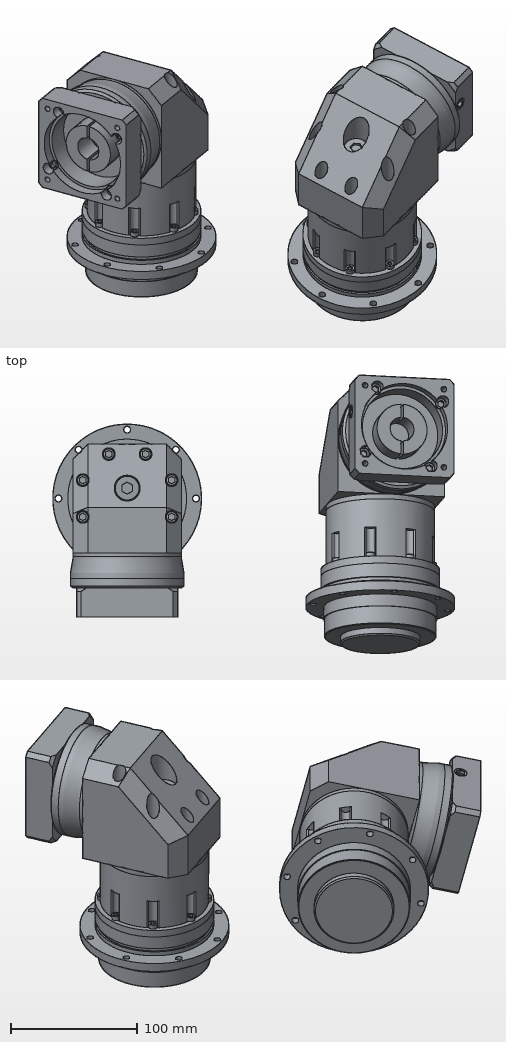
import cadquery as cq
import math


overall_depth = 153.0
overall_height = 200.5

boss_radius = 31.7
boss_height = 6.0
boss_chamfer = 1.2
pilot_radius = 44.3
pilot_chamfer = 0.6
pilot_top = 20.5
upper_pilot_radius = 45.0
flange_diameter = 118.0
flange_bottom = 30.0
flange_top = 37.3
shoulder_radius = 47.1
groove_radius = 45.5
groove_bottom = 41.0
groove_top = 44.0
flange_hole_count = 8
flange_hole_radius = 2.6
flange_hole_circle = 54.5

ring_bottom = 54.7
ring_shoulder_top = 60.8
flute_top = 85.5
ring_top = 108.3
screw_count = 8
flute_radius = 3.6
flute_circle = 41.7
flute_mouth_overrun = 2.0
flute_screw_radius = 3.5
flute_screw_height = 3.6
flute_socket_radius = 2.0

body_radius = 43.1
block_chamfer = 12.0
slope_leg = 50.1
front_neck_length = 2.8
housing_screw_circle = 38.0
housing_bore_radius = 5.0
housing_screw_radius = 4.2
housing_screw_height = 6.0
housing_screw_seat = 124.3
plug_center_y = 8.2
plug_bore_radius = 10.2
plug_radius = 9.5
plug_height = 4.0
plug_seat = 164.5
plug_socket_radius = 4.8

collar_radius = 45.1
cone_start = 47.7
cone_end = 59.1
collar_end = 63.4

disc_end = 70.8
disc_chamfer_length = 1.5
disc_chamfer_radial = 2.2
plate_width = 80.2
plate_chamfer = 3.6
plate_back_radius = 51.3
cavity_radius = 32.5
cavity_depth = 26.7
register_radius = 34.9
register_depth = 8.0
shaft_opening_radius = 13.8
mount_hole_spacing = 63.8
mount_hole_radius = 2.2
mount_hole_depth = 14.0
drill_tip_angle = 118.0
plate_screw_count = 4
plate_screw_circle = 38.0
plate_screw_angle = 35.0
plate_bore_radius = 4.6
plate_bore_depth = 13.0
plate_screw_radius = 4.2
side_screw_inset = 16.5
side_screw_height = 14.0
side_bore_radius = 5.0
side_bore_depth = 0.5
side_socket_radius = 3.6

hub_radius = 20.3
hub_bore_radius = 9.6
hub_recess = 9.5
hub_slot_width = 2.0

screw_socket_radius = 3.0
socket_depth = 3.0

flange_radius = flange_diameter / 2
input_height = overall_height - collar_radius
block_bottom = input_height - body_radius
block_top = input_height + body_radius
neck_end = body_radius + front_neck_length
plate_front = overall_depth - flange_radius
cavity_floor = plate_front - cavity_depth
screw_pitch = 360 / screw_count


def cylinder(radius, bottom, top, x=0, y=0):
    """Upright cylinder between two heights."""
    return cq.Workplane("XY", origin=(x, y, bottom)).circle(radius).extrude(top - bottom)


def input_plane(distance, height=input_height):
    """Plane across the input axis, facing -Y, at a distance from the output axis."""
    return cq.Workplane("XZ", origin=(0, -distance, height))


def input_cylinder(radius, start, end, x=0, z=0):
    """Cylinder parallel to the input axis, placed relative to that axis."""
    return input_plane(start).center(x, z).circle(radius).extrude(end - start)


def revolve_about_input(profile):
    """Turn a profile of (radius, distance) points around the input axis."""
    points = [(radius, -distance) for radius, distance in profile]
    outline = cq.Workplane("XY", origin=(0, 0, input_height)).polyline(points).close()
    return outline.revolve(360, (0, 0, 0), (0, 1, 0))


def hexagon(plane, corner_radius, depth):
    """Hexagonal prism with two corners on the plane's local Y axis."""
    corners = [
        (corner_radius * math.sin(math.radians(60 * k)), corner_radius * math.cos(math.radians(60 * k)))
        for k in range(6)
    ]
    return plane.polyline(corners).close().extrude(depth)


def upright_screw_head(radius, socket_radius, bottom, height, x=0, y=0):
    """Screw head standing on a horizontal seat, with a hexagon socket in its top."""
    top = bottom + height
    socket_floor = top - min(socket_depth, height / 2)
    socket = hexagon(cq.Workplane("XY", origin=(x, y, socket_floor)), socket_radius, height)
    return cylinder(radius, bottom, top, x, y).cut(socket)


def polar_point(radius, angle):
    return radius * math.cos(math.radians(angle)), radius * math.sin(math.radians(angle))


def make_output_housing():
    body = cylinder(boss_radius, 0, boss_height).faces("<Z").chamfer(boss_chamfer)
    pilot = cylinder(pilot_radius, boss_height, pilot_top).faces("<Z").chamfer(pilot_chamfer)
    body = body.union(pilot)
    body = body.union(cylinder(upper_pilot_radius, pilot_top, flange_bottom))
    body = body.union(cylinder(flange_radius, flange_bottom, flange_top))
    body = body.union(cylinder(shoulder_radius, flange_top, groove_bottom))
    body = body.union(cylinder(groove_radius, groove_bottom, groove_top))
    body = body.union(cylinder(shoulder_radius, groove_top, ring_bottom))
    holes = (
        cq.Workplane("XY", origin=(0, 0, flange_bottom))
        .polarArray(flange_hole_circle, 0, 360, flange_hole_count)
        .circle(flange_hole_radius)
        .extrude(flange_top - flange_bottom)
    )
    return body.cut(holes)


def make_flute():
    """Round-bottomed flute along +X whose mouth flares at 45 degrees."""
    mouth_radius = body_radius + flute_mouth_overrun
    mouth_half_width = flute_radius + mouth_radius - flute_circle
    return (
        cq.Workplane("XY", origin=(0, 0, ring_shoulder_top))
        .moveTo(flute_circle, flute_radius)
        .threePointArc((flute_circle - flute_radius, 0), (flute_circle, -flute_radius))
        .lineTo(mouth_radius, -mouth_half_width)
        .lineTo(mouth_radius, mouth_half_width)
        .close()
        .extrude(flute_top - ring_shoulder_top)
    )


def make_ring_housing():
    body = cylinder(shoulder_radius, ring_bottom, ring_shoulder_top)
    body = body.union(cylinder(body_radius, ring_shoulder_top, ring_top))
    flute = make_flute()
    head = upright_screw_head(
        flute_screw_radius, flute_socket_radius, ring_shoulder_top, flute_screw_height, flute_circle
    )
    for k in range(screw_count):
        angle = (k + 0.5) * screw_pitch
        body = body.cut(flute.rotate((0, 0, 0), (0, 0, 1), angle))
        body = body.union(head.rotate((0, 0, 0), (0, 0, 1), angle))
    return body


def make_angle_block():
    """Square block whose upper back corner is cut at 45 degrees and whose outer edges are chamfered."""
    block = (
        cq.Workplane("YZ", origin=(-body_radius, 0, 0))
        .moveTo(-body_radius, block_bottom)
        .lineTo(body_radius, block_bottom)
        .lineTo(body_radius, block_top - slope_leg)
        .lineTo(body_radius - slope_leg, block_top)
        .lineTo(-body_radius, block_top)
        .close()
        .extrude(2 * body_radius)
    )
    side_edges = block.faces("<X or >X").edges("not(<Y or <Z)")
    return side_edges.chamfer(block_chamfer)


def make_angle_housing():
    body = make_angle_block()
    body = body.union(cylinder(body_radius, ring_top, block_bottom))
    body = body.union(input_cylinder(body_radius, body_radius, neck_end))
    for k in range(screw_count):
        x, y = polar_point(housing_screw_circle, (k + 0.5) * screw_pitch)
        if y < -housing_screw_circle / 2:
            continue
        body = body.cut(cylinder(housing_bore_radius, housing_screw_seat, block_top, x, y))
        body = body.union(
            upright_screw_head(
                housing_screw_radius, screw_socket_radius, housing_screw_seat, housing_screw_height, x, y
            )
        )
    body = body.cut(cylinder(plug_bore_radius, plug_seat, block_top, 0, plug_center_y))
    plug = upright_screw_head(plug_radius, plug_socket_radius, plug_seat, plug_height, 0, plug_center_y)
    return body.union(plug)


def make_input_collar():
    return revolve_about_input(
        [
            (0, neck_end),
            (body_radius, neck_end),
            (body_radius, cone_start),
            (collar_radius, cone_end),
            (collar_radius, collar_end),
            (0, collar_end),
        ]
    )


def make_plate_blank():
    """Square plate with chamfered corners, its back corners turned to a 45 degree cone."""
    thickness = plate_front - disc_end
    plate = input_plane(disc_end).rect(plate_width, plate_width).extrude(thickness)
    plate = plate.edges("|Y").chamfer(plate_chamfer)
    cone = revolve_about_input(
        [
            (0, disc_end),
            (plate_back_radius, disc_end),
            (plate_back_radius + thickness, plate_front),
            (0, plate_front),
        ]
    )
    return plate.intersect(cone)


def make_mount_hole():
    """Blind drilled hole with a conical tip, on the input axis."""
    tip_depth = mount_hole_radius / math.tan(math.radians(drill_tip_angle / 2))
    bottom = plate_front - mount_hole_depth
    return revolve_about_input(
        [
            (0, plate_front),
            (mount_hole_radius, plate_front),
            (mount_hole_radius, bottom),
            (0, bottom - tip_depth),
        ]
    )


def make_motor_adapter():
    disc = revolve_about_input(
        [
            (0, collar_end),
            (collar_radius, collar_end),
            (collar_radius, disc_end - disc_chamfer_length),
            (collar_radius - disc_chamfer_radial, disc_end),
            (0, disc_end),
        ]
    )
    body = disc.union(make_plate_blank())
    body = body.cut(input_cylinder(register_radius, plate_front - register_depth, plate_front))
    body = body.cut(input_cylinder(cavity_radius, cavity_floor, plate_front))
    body = body.cut(input_cylinder(shaft_opening_radius, collar_end, cavity_floor))

    mount_hole = make_mount_hole()
    for side in (-1, 1):
        for level in (-1, 1):
            offset = (side * mount_hole_spacing / 2, 0, level * mount_hole_spacing / 2)
            body = body.cut(mount_hole.translate(offset))

    seat = plate_front - plate_bore_depth
    head_top = plate_front - register_depth
    for k in range(plate_screw_count):
        x, z = polar_point(plate_screw_circle, plate_screw_angle + 360 / plate_screw_count * k)
        body = body.cut(input_cylinder(plate_bore_radius, seat, plate_front, x, z))
        body = body.union(input_cylinder(plate_screw_radius, seat, head_top, x, z))
        socket_plane = input_plane(head_top - socket_depth).center(x, z)
        body = body.cut(hexagon(socket_plane, screw_socket_radius, socket_depth))

    side_plane = cq.Workplane(
        "YZ", origin=(-plate_width / 2, side_screw_inset - plate_front, input_height + side_screw_height)
    )
    body = body.cut(side_plane.circle(side_bore_radius).extrude(side_bore_depth))
    return body.cut(hexagon(side_plane, side_socket_radius, socket_depth))


def make_clamp_hub():
    hub_front = plate_front - hub_recess
    clamp_length = hub_front - cavity_floor
    hub = input_cylinder(hub_radius, cavity_floor, hub_front)
    slot = input_plane(cavity_floor).rect(hub_slot_width, 2 * hub_radius).extrude(clamp_length)
    hub = hub.cut(slot)
    hub = hub.union(input_cylinder(shaft_opening_radius, collar_end, cavity_floor))
    return hub.cut(input_cylinder(hub_bore_radius, collar_end, hub_front))


output_housing = make_output_housing()
ring_housing = make_ring_housing()
angle_housing = make_angle_housing()
input_collar = make_input_collar()
motor_adapter = make_motor_adapter()
clamp_hub = make_clamp_hub()

result = cq.Compound.makeCompound(
    [
        output_housing.val(),
        ring_housing.val(),
        angle_housing.val(),
        input_collar.val(),
        motor_adapter.val(),
        clamp_hub.val(),
    ]
)